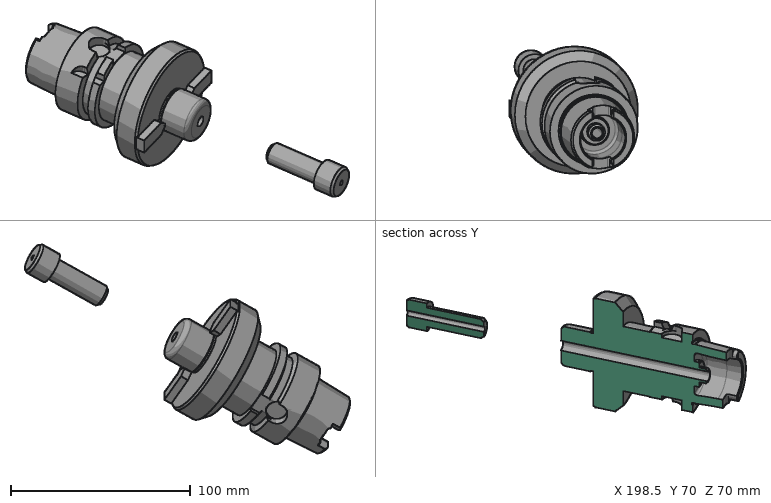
import cadquery as cq
import math

SHANK_LENGTH = 24.8
RING_START = 23.0
RELIEF_START = 23.6
GRIP_END = 51.0
NECK_END = 67.0
DISC_LENGTH = 18.3
SPIGOT_LENGTH = 19.7
DISC_FACE = NECK_END + DISC_LENGTH
SPIGOT_END = DISC_FACE + SPIGOT_LENGTH

SHANK_END_DIA = 36.1
SHANK_LARGE_DIA = 38.1
RING_DIA = 39.0
RELIEF_DIA = 38.0
GRIP_DIA = 50.0
GROOVE_DIA = 42.9
NECK_DIA = 41.7
DISC_DIA = 70.0
SPIGOT_DIA = 25.5
SPIGOT_RELIEF_DIA = 24.6

FACE_RECESS_DIA = 40.0
FACE_RECESS_DEPTH = 0.5
SHANK_CHAMFER_X = 1.0
SHANK_CHAMFER_R = 1.0
DISC_BEVEL = 5.0
DISC_CHAMFER_X = 1.4
DISC_CHAMFER_R = 0.8
SPIGOT_RELIEF_LENGTH = 1.2
SPIGOT_RELIEF_TAPER = 0.5
SPIGOT_ROUND = 3.0

GROOVE_START = 40.7
GROOVE_END = 44.9
GROOVE_START_TAPER = 1.2
GROOVE_END_TAPER = 1.5

MOUTH_DIA = 26.6
CAVITY_DIA = 25.5
MOUTH_CHAMFER = (MOUTH_DIA - CAVITY_DIA) / 2
LIP_LENGTH = 10.0
UNDERCUT_DIA = 26.6
CAVITY_DEPTH = 23.8
CAVITY_FLOOR_DIA = 23.5
COLLAR_DIA = 16.0
COLLAR_HEIGHT = 3.0
COLLAR_CHAMFER = 0.5
TUBE_DIA = 9.5
TUBE_HEIGHT = 5.0
TUBE_CHAMFER = 1.2
COOLANT_DIA = 6.0

SLOT_WIDTH = 10.1
SLOT_MOUTH_WIDTH = 12.3
SLOT_MOUTH_CHAMFER = 0.5
SLOT_FLOOR_ROUND = 1.2
UPPER_SLOT_DEPTH = 4.4
LOWER_SLOT_DEPTH = 6.7
SLOT_FLARE_WIDTH = 15.9
SLOT_FLARE_TOP = 16.0

CUTTER_DIA = 12.0
CUTTER_X = 37.7
KEYWAY_FLOOR = 21.0
KEYWAY_HOLE_FLOOR = 18.9
NOTCH_OFFSET = 15.5

KEY_WIDTH = 9.1
KEY_HEIGHT = 4.5
KEY_OUTER = 34.5
KEY_INNER = 13.1
KEY_CHAMFER = 4.0
KEY_CHAMFER_SIDE = 3.5
KEY_ROOT = 1.2

SCREW_END = 198.5
HEAD_DIA = 18.0
HEAD_LENGTH = 12.5
HEAD_CHAMFER_X = 1.5
HEAD_CHAMFER_R = 1.0
SCREW_DIA = 12.5
THREAD_LENGTH = 34.3
TIP_CHAMFER_X = 1.8
TIP_CHAMFER_R = 1.49
SCREW_BORE_DIA = 3.0


def revolve_about_x(outline):
    """Turn a closed (x, radius) outline around the X axis."""
    return outline.close().revolve(360, (0, 0, 0), (1, 0, 0))


def adapter_blank():
    r_shank = SHANK_END_DIA / 2
    r_grip = GRIP_DIA / 2
    r_groove = GROOVE_DIA / 2
    r_disc = DISC_DIA / 2
    r_spigot = SPIGOT_DIA / 2
    r_relief = SPIGOT_RELIEF_DIA / 2
    recess_floor = SHANK_LENGTH + FACE_RECESS_DEPTH
    relief_end = DISC_FACE + SPIGOT_RELIEF_LENGTH
    round_inset = SPIGOT_ROUND * (1 - math.sqrt(0.5))
    outline = (
        cq.Workplane("XY")
        .moveTo(0, 0)
        .lineTo(0, r_shank - SHANK_CHAMFER_R)
        .lineTo(SHANK_CHAMFER_X, r_shank)
        .lineTo(RING_START, SHANK_LARGE_DIA / 2)
        .lineTo(RING_START, RING_DIA / 2)
        .lineTo(RELIEF_START, RELIEF_DIA / 2)
        .lineTo(recess_floor, RELIEF_DIA / 2)
        .lineTo(recess_floor, FACE_RECESS_DIA / 2)
        .lineTo(SHANK_LENGTH, FACE_RECESS_DIA / 2)
        .lineTo(SHANK_LENGTH, r_grip)
        .lineTo(GROOVE_START - GROOVE_START_TAPER, r_grip)
        .lineTo(GROOVE_START, r_groove)
        .lineTo(GROOVE_END, r_groove)
        .lineTo(GROOVE_END + GROOVE_END_TAPER, r_grip)
        .lineTo(GRIP_END, r_grip)
        .lineTo(GRIP_END, NECK_DIA / 2)
        .lineTo(NECK_END, NECK_DIA / 2)
        .lineTo(NECK_END, r_disc - DISC_BEVEL)
        .lineTo(NECK_END + DISC_BEVEL, r_disc)
        .lineTo(DISC_FACE - DISC_CHAMFER_X, r_disc)
        .lineTo(DISC_FACE, r_disc - DISC_CHAMFER_R)
        .lineTo(DISC_FACE, r_relief)
        .lineTo(relief_end, r_relief)
        .lineTo(relief_end + SPIGOT_RELIEF_TAPER, r_spigot)
        .lineTo(SPIGOT_END - SPIGOT_ROUND, r_spigot)
        .threePointArc(
            (SPIGOT_END - round_inset, r_spigot - round_inset),
            (SPIGOT_END, r_spigot - SPIGOT_ROUND),
        )
        .lineTo(SPIGOT_END, 0)
    )
    return revolve_about_x(outline)


def cavity():
    """Hollow of the shank, leaving a collar and a tube standing on its floor."""
    r_mouth = MOUTH_DIA / 2
    r_cavity = CAVITY_DIA / 2
    r_undercut = UNDERCUT_DIA / 2
    r_collar = COLLAR_DIA / 2
    r_tube = TUBE_DIA / 2
    floor_round = (UNDERCUT_DIA - CAVITY_FLOOR_DIA) / 2
    collar_top = CAVITY_DEPTH - COLLAR_HEIGHT
    tube_top = collar_top - TUBE_HEIGHT
    outline = (
        cq.Workplane("XY")
        .moveTo(0, 0)
        .lineTo(0, r_mouth)
        .lineTo(MOUTH_CHAMFER, r_cavity)
        .lineTo(LIP_LENGTH, r_cavity)
        .lineTo(CAVITY_DEPTH - floor_round, r_undercut)
        .radiusArc((CAVITY_DEPTH, r_undercut - floor_round), floor_round)
        .lineTo(CAVITY_DEPTH, r_collar)
        .lineTo(collar_top + COLLAR_CHAMFER, r_collar)
        .lineTo(collar_top, r_collar - COLLAR_CHAMFER)
        .lineTo(collar_top, r_tube)
        .lineTo(tube_top + TUBE_CHAMFER, r_tube)
        .lineTo(tube_top, r_tube - TUBE_CHAMFER)
        .lineTo(tube_top, 0)
    )
    return revolve_about_x(outline)


def coolant_bore():
    return cq.Workplane("YZ").circle(COOLANT_DIA / 2).extrude(SPIGOT_END)


def drive_slot(depth):
    """Slot into the shank end on the +Z side, flared where it leaves the shank."""
    reach = SHANK_LARGE_DIA / 2
    half = SLOT_WIDTH / 2
    slot = (
        cq.Workplane("XY")
        .center(depth / 2, 0)
        .rect(depth, SLOT_WIDTH)
        .extrude(reach)
        .edges("|Z and >X")
        .fillet(SLOT_FLOOR_ROUND)
    )
    mouth = (
        cq.Workplane("XY")
        .moveTo(0, SLOT_MOUTH_WIDTH / 2)
        .lineTo(SLOT_MOUTH_CHAMFER, half)
        .lineTo(SLOT_MOUTH_CHAMFER, -half)
        .lineTo(0, -SLOT_MOUTH_WIDTH / 2)
        .close()
        .extrude(reach)
    )
    flare_half = SLOT_FLARE_WIDTH / 2
    flare_radius = flare_half - half
    flare_base = SLOT_FLARE_TOP - flare_radius
    flare = (
        cq.Workplane("YZ")
        .moveTo(-half, flare_base)
        .lineTo(half, flare_base)
        .radiusArc((flare_half, SLOT_FLARE_TOP), flare_radius)
        .lineTo(flare_half, reach)
        .lineTo(-flare_half, reach)
        .lineTo(-flare_half, SLOT_FLARE_TOP)
        .radiusArc((-half, flare_base), flare_radius)
        .close()
        .extrude(depth - SLOT_FLOOR_ROUND)
    )
    return slot.union(mouth).union(flare)


def round_ended_cut(y, floor):
    """Upward cut from a floor height, round at its start and open at the flange end."""
    height = GRIP_DIA / 2 - floor
    length = GRIP_END - CUTTER_X
    base = cq.Workplane("XY", origin=(CUTTER_X, y, floor))
    return base.circle(CUTTER_DIA / 2).extrude(height).union(
        base.center(length / 2, 0).rect(length, CUTTER_DIA).extrude(height)
    )


def keyway():
    hole_depth = KEYWAY_FLOOR - KEYWAY_HOLE_FLOOR
    hole = (
        cq.Workplane("XY", origin=(CUTTER_X, 0, KEYWAY_HOLE_FLOOR))
        .circle(CUTTER_DIA / 2)
        .extrude(hole_depth)
    )
    return round_ended_cut(0, KEYWAY_FLOOR).union(hole)


def side_notch():
    return round_ended_cut(-NOTCH_OFFSET - CUTTER_DIA / 2, NOTCH_OFFSET)


def drive_key():
    """Key on the +Y side of the disc face, with its inner end narrowed by chamfers."""
    half = KEY_WIDTH / 2
    tip_half = half - KEY_CHAMFER_SIDE
    return (
        cq.Workplane("YZ", origin=(DISC_FACE - KEY_ROOT, 0, 0))
        .moveTo(KEY_OUTER, -half)
        .lineTo(KEY_OUTER, half)
        .lineTo(KEY_INNER + KEY_CHAMFER, half)
        .lineTo(KEY_INNER, tip_half)
        .lineTo(KEY_INNER, -tip_half)
        .lineTo(KEY_INNER + KEY_CHAMFER, -half)
        .close()
        .extrude(KEY_ROOT + KEY_HEIGHT)
    )


def half_turn(shape):
    return shape.rotate((0, 0, 0), (1, 0, 0), 180)


def build_adapter():
    body = adapter_blank().cut(cavity()).cut(coolant_bore())
    body = body.cut(drive_slot(UPPER_SLOT_DEPTH)).cut(half_turn(drive_slot(LOWER_SLOT_DEPTH)))
    body = body.cut(keyway()).cut(half_turn(keyway()))
    body = body.cut(side_notch())
    return body.union(drive_key()).union(half_turn(drive_key()))


def build_screw():
    head_start = SCREW_END - HEAD_LENGTH
    tip = head_start - THREAD_LENGTH
    r_head = HEAD_DIA / 2
    r_screw = SCREW_DIA / 2
    r_bore = SCREW_BORE_DIA / 2
    outline = (
        cq.Workplane("XY")
        .moveTo(tip, r_bore)
        .lineTo(tip, r_screw - TIP_CHAMFER_R)
        .lineTo(tip + TIP_CHAMFER_X, r_screw)
        .lineTo(head_start, r_screw)
        .lineTo(head_start, r_head)
        .lineTo(SCREW_END - HEAD_CHAMFER_X, r_head)
        .lineTo(SCREW_END, r_head - HEAD_CHAMFER_R)
        .lineTo(SCREW_END, r_bore)
    )
    return revolve_about_x(outline)


adapter = build_adapter()
screw = build_screw()

result = cq.Compound.makeCompound([adapter.val(), screw.val()])